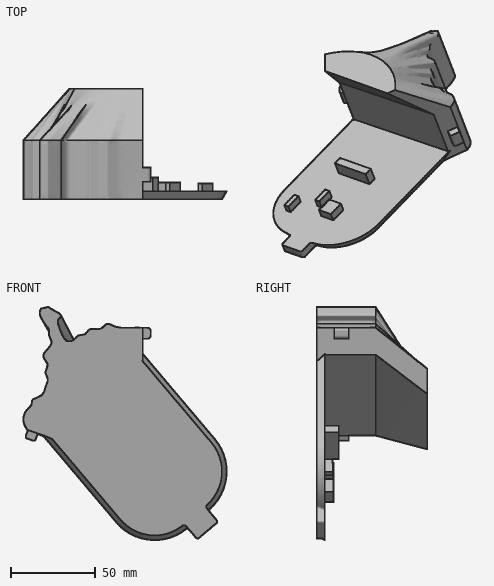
import cadquery as cq
import math


AXIS_ANGLE = 49.8
AXIS_START = (41.6, 86.5)
PLATE_LENGTH = 96.8
PLATE_WIDTH = 76.8
PLATE_THICKNESS = 5.0
PLATE_CORNER_RADIUS = 29.7
PLATE_OVERLAP = 13.9
BEVEL_ANGLE = 30
BEVEL_INSET = PLATE_THICKNESS * math.tan(math.radians(BEVEL_ANGLE))
ROOT_LENGTH = 4.3
ROOT_RIGHT_DROP = 3.2

TAB_LENGTH = 9.0
TAB_WIDTH = 16.2
TAB_CORNER_RADIUS = 1.2
TAB_NOTCH_RADIUS = 1.2

STRAIGHT_DEPTH = 35.1
BLOCK_DEPTH = 66.0
BLOCK_RIGHT = 71.4
BLOCK_TOP = 126.5
BLOCK_FOOT = (12.8, 62.2)
RIGHT_SIDE_BOTTOM = 110.4

RAGGED_EDGE = [
    (2.5, 65.7), (0.8, 68.6), (0.1, 71.1), (0.4, 74.0), (1.7, 76.8), (3.3, 78.6),
    (5.0, 80.7), (5.4, 83.2), (7.9, 84.7), (11.2, 86.5), (12.5, 88.3), (13.3, 91.2),
    (14.6, 94.5), (14.6, 96.6), (13.3, 99.5), (14.6, 103.7), (14.2, 105.8), (12.1, 109.1),
    (12.5, 111.2), (14.6, 113.7), (16.2, 115.8), (17.0, 117.9), (16.1, 120.4), (15.4, 122.2),
    (15.3, 125.5), (13.7, 127.6), (11.2, 131.3), (10.0, 134.2), (10.0, 136.3), (11.1, 138.0),
    (12.9, 138.1), (14.6, 138.8), (16.2, 138.0), (18.9, 136.3), (21.4, 135.1), (22.6, 133.5),
    (21.4, 131.7), (20.5, 130.1), (21.0, 128.0), (22.4, 124.2), (24.3, 120.4), (26.0, 118.7),
    (29.3, 118.7), (31.4, 120.5), (33.0, 121.9), (36.8, 122.6), (39.3, 125.2), (44.7, 125.6),
    (47.6, 126.7), (49.5, 128.5), (51.8, 128.5), (54.8, 127.2), (58.6, 126.5),
    (BLOCK_RIGHT, BLOCK_TOP),
]

REAR_ARC_CENTRE = (69.8, 59.8)
REAR_ARC_RADIUS = 42.2
REAR_ARC_START_ANGLE = 186
REAR_FOOT = (32.6, 54.0)
REAR_RIGHT_BOTTOM = 86.9

LUG_FRONT = 10.4
LUG_DEPTH = 8.7
LUG_OVERLAP = 2.8
TOP_LUG_LENGTH = 4.7
TOP_LUG_HEIGHT = 6.7
TOP_LUG_RADIUS = 2.1
SIDE_LUG_ANGLE = 20
SIDE_LUG_CENTRE = (5.5, 63.7)
SIDE_LUG_WIDTH = 6.4
SIDE_LUG_HEIGHT = 8.3
SIDE_LUG_RADIUS = 1.4

PLATE_BLOCKS = [
    (39.5, 2.9, 5.0, 25, 8.2),
    (71.2, -4.0, 9.7, 9.7, 5.1),
    (65.2, 7.2, 9.7, 3.3, 5.1),
    (76.1, 23.3, 9.7, 3.3, 4.6),
]


def at_depth(depth):
    """Workplane facing the front at a given Y; local x, y are X, Z."""
    return cq.Workplane("XZ", origin=(0, depth, 0))


def along_axis(depth):
    """Workplane at a given Y; local x runs down the plate axis from its start."""
    x, z = AXIS_START
    return cq.Workplane("XZ", origin=(x, depth, z)).transformed(rotate=(0, 0, -AXIS_ANGLE))


def plate():
    length = PLATE_LENGTH + PLATE_OVERLAP
    outline = (
        cq.Sketch()
        .push([(PLATE_LENGTH - length / 2, 0)])
        .rect(length, PLATE_WIDTH)
        .reset()
        .vertices(">X")
        .fillet(PLATE_CORNER_RADIUS)
    )
    return along_axis(PLATE_THICKNESS).placeSketch(outline).extrude(PLATE_THICKNESS, taper=BEVEL_ANGLE)


def tab():
    length = TAB_LENGTH + PLATE_CORNER_RADIUS
    return (
        along_axis(PLATE_THICKNESS)
        .center(PLATE_LENGTH + TAB_LENGTH - length / 2, 0)
        .rect(length, TAB_WIDTH)
        .extrude(PLATE_THICKNESS)
        .edges("|Y and (>X or <Z)")
        .fillet(TAB_CORNER_RADIUS)
    )


def plate_with_tab():
    """Plate and tab with the two inner corners between them rounded."""
    inner_corners = (
        along_axis(PLATE_THICKNESS / 2)
        .pushPoints([(PLATE_LENGTH - BEVEL_INSET / 2, side * TAB_WIDTH / 2) for side in (-1, 1)])
        .vals()
    )
    joined = plate().union(tab())
    for corner in inner_corners:
        nearest = cq.selectors.NearestToPointSelector(corner.toTuple())
        joined = joined.edges(nearest).fillet(TAB_NOTCH_RADIUS)
    return joined


def plate_root():
    """Strip of the plate next to the block, following the block's sides."""
    angle = math.radians(AXIS_ANGLE)
    across = PLATE_WIDTH / 2 - BEVEL_INSET
    lower_end = (
        AXIS_START[0] + ROOT_LENGTH * math.cos(angle) - across * math.sin(angle),
        AXIS_START[1] - ROOT_LENGTH * math.sin(angle) - across * math.cos(angle),
    )
    upper_end = (BLOCK_RIGHT, RIGHT_SIDE_BOTTOM - ROOT_RIGHT_DROP)
    outline = [BLOCK_FOOT, lower_end, upper_end, (BLOCK_RIGHT, RIGHT_SIDE_BOTTOM), AXIS_START]
    return at_depth(PLATE_THICKNESS).polyline(outline).close().extrude(PLATE_THICKNESS)


def block_outline(workplane):
    return (
        workplane.moveTo(*BLOCK_FOOT)
        .lineTo(*RAGGED_EDGE[0])
        .spline(RAGGED_EDGE[1:], includeCurrent=True)
        .lineTo(BLOCK_RIGHT, RIGHT_SIDE_BOTTOM)
        .close()
    )


def rear_arc_point(angle):
    return (
        REAR_ARC_CENTRE[0] + REAR_ARC_RADIUS * math.cos(angle),
        REAR_ARC_CENTRE[1] + REAR_ARC_RADIUS * math.sin(angle),
    )


def rear_outline(workplane):
    start = math.radians(REAR_ARC_START_ANGLE)
    end = math.acos((BLOCK_RIGHT - REAR_ARC_CENTRE[0]) / REAR_ARC_RADIUS)
    return (
        workplane.moveTo(*REAR_FOOT)
        .lineTo(*rear_arc_point(start))
        .threePointArc(rear_arc_point((start + end) / 2), rear_arc_point(end))
        .lineTo(BLOCK_RIGHT, REAR_RIGHT_BOTTOM)
        .close()
    )


def block():
    straight = block_outline(at_depth(STRAIGHT_DEPTH)).extrude(STRAIGHT_DEPTH)
    front_wire = block_outline(at_depth(STRAIGHT_DEPTH)).val()
    rear_wire = rear_outline(at_depth(BLOCK_DEPTH)).val()
    tapered = cq.Solid.makeLoft([front_wire, rear_wire], True)
    return straight.union(cq.Workplane(tapered))


def top_lug():
    length = TOP_LUG_LENGTH + LUG_OVERLAP
    return (
        at_depth(LUG_FRONT + LUG_DEPTH)
        .center(BLOCK_RIGHT + TOP_LUG_LENGTH - length / 2, BLOCK_TOP - TOP_LUG_HEIGHT / 2)
        .rect(length, TOP_LUG_HEIGHT)
        .extrude(LUG_DEPTH)
        .edges("|Y and >X")
        .fillet(TOP_LUG_RADIUS)
    )


def side_lug():
    return (
        at_depth(LUG_FRONT + LUG_DEPTH)
        .center(*SIDE_LUG_CENTRE)
        .transformed(rotate=(0, 0, -SIDE_LUG_ANGLE))
        .rect(SIDE_LUG_WIDTH, SIDE_LUG_HEIGHT)
        .extrude(LUG_DEPTH)
        .edges("|Y")
        .fillet(SIDE_LUG_RADIUS)
    )


def plate_block(along, across, length, width, height):
    """Upright block; it starts inside the plate so the two are joined."""
    return (
        along_axis(PLATE_THICKNESS + height)
        .center(along, across)
        .rect(length, width)
        .extrude(height + PLATE_THICKNESS / 2)
    )


result = block()
for piece in (plate_with_tab(), plate_root(), top_lug(), side_lug()):
    result = result.union(piece)
for sizes in PLATE_BLOCKS:
    result = result.union(plate_block(*sizes))